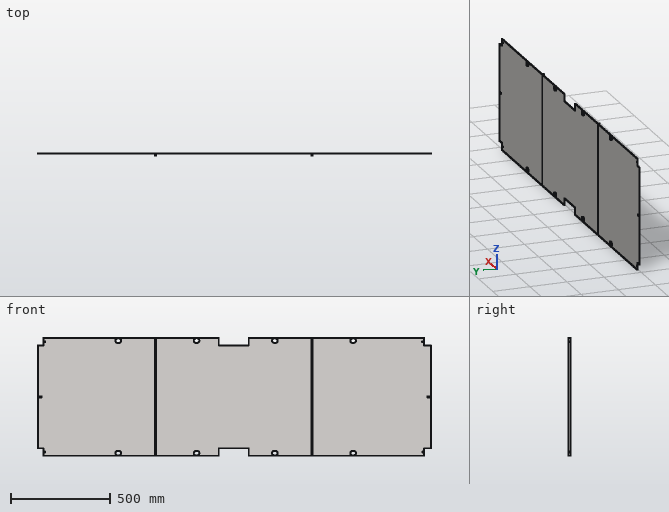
import cadquery as cq

PANEL_LENGTH = 1981.0
PANEL_HEIGHT = 595.0
TOTAL_DEPTH = 12.7
PANEL_THICKNESS = 3.2

LEFT_NOTCH_WIDTH = 28.0
RIGHT_NOTCH_WIDTH = 35.0
MIDDLE_NOTCH_WIDTH = 150.0
NOTCH_DEPTH = 38.0
TAB_CORNER_RADIUS = 4.0

SMALL_HOLE_DIAMETER = 4.0
SMALL_HOLE_EDGE_DISTANCE = 20.0
CORNER_HOLE_WALL_DISTANCE = 8.0

EDGE_SLOT_LENGTH = 28.0
EDGE_SLOT_WIDTH = 22.0
EDGE_SLOT_EDGE_DISTANCE = 14.0
EDGE_SLOT_SPACING = 395.0
EDGE_SLOT_COUNT = 4
EDGE_SLOT_ROW_CENTER = 5.0

END_SLOT_LENGTH = 20.0
END_SLOT_WIDTH = 5.0
END_SLOT_MOUTH_RADIUS = 4.0

RIB_WIDTH = 6.3
RIB_SPACING = 2 * EDGE_SLOT_SPACING

LEFT_END = -PANEL_LENGTH / 2
RIGHT_END = PANEL_LENGTH / 2
TOP_EDGE = PANEL_HEIGHT / 2
LEFT_SHOULDER = LEFT_END + LEFT_NOTCH_WIDTH
RIGHT_SHOULDER = RIGHT_END - RIGHT_NOTCH_WIDTH
SHOULDER_CENTER = (LEFT_SHOULDER + RIGHT_SHOULDER) / 2
BACK_FACE = TOTAL_DEPTH / 2
RIB_FACE = BACK_FACE - PANEL_THICKNESS
RIB_DEPTH = TOTAL_DEPTH - PANEL_THICKNESS
SMALL_HOLE_Z = TOP_EDGE - SMALL_HOLE_EDGE_DISTANCE
EDGE_SLOT_Z = TOP_EDGE - EDGE_SLOT_EDGE_DISTANCE


def panel_sketch(x, z):
    """Workplane on the back face at (x, z), extruding forward through the panel."""
    return cq.Workplane("XZ", origin=(x, BACK_FACE, z))


def panel_block(width, height, x, z):
    """Rectangular block of panel thickness, centred on (x, z)."""
    return panel_sketch(x, z).rect(width, height).extrude(PANEL_THICKNESS)


def cut_notches(panel):
    """Cut the corner and middle notches into the top and bottom edges."""
    notches = [
        (LEFT_NOTCH_WIDTH, (LEFT_END + LEFT_SHOULDER) / 2),
        (RIGHT_NOTCH_WIDTH, (RIGHT_SHOULDER + RIGHT_END) / 2),
        (MIDDLE_NOTCH_WIDTH, SHOULDER_CENTER),
    ]
    notch_z = TOP_EDGE - NOTCH_DEPTH / 2
    for width, x in notches:
        for z in (-notch_z, notch_z):
            panel = panel.cut(panel_block(width, NOTCH_DEPTH, x, z))
    return panel


def round_right_tab(panel):
    """Round the two outer corners of the tab on the right end."""
    corners = panel.faces(">X").edges("|Y")
    return corners.fillet(TAB_CORNER_RADIUS)


def cut_corner_holes(panel):
    """Drill a small hole beside each corner notch."""
    left_x = LEFT_SHOULDER + CORNER_HOLE_WALL_DISTANCE
    right_x = RIGHT_SHOULDER - CORNER_HOLE_WALL_DISTANCE
    for x in (left_x, right_x):
        for z in (-SMALL_HOLE_Z, SMALL_HOLE_Z):
            hole = panel_sketch(x, z).circle(SMALL_HOLE_DIAMETER / 2).extrude(PANEL_THICKNESS)
            panel = panel.cut(hole)
    return panel


def cut_edge_slots(panel):
    """Cut a row of obround slots along the top and bottom edges."""
    for z in (-EDGE_SLOT_Z, EDGE_SLOT_Z):
        row = panel_sketch(EDGE_SLOT_ROW_CENTER, z).rarray(EDGE_SLOT_SPACING, 20, EDGE_SLOT_COUNT, 1)
        slots = row.slot2D(EDGE_SLOT_LENGTH, EDGE_SLOT_WIDTH).extrude(PANEL_THICKNESS)
        panel = panel.cut(slots)
    return panel


def cut_end_slots(panel):
    """Cut an open slot into each end and round the mouth of the right one."""
    left_slot = panel_block(END_SLOT_LENGTH, END_SLOT_WIDTH, LEFT_END + END_SLOT_LENGTH / 2, 0)
    right_slot = panel_block(END_SLOT_LENGTH, END_SLOT_WIDTH, RIGHT_END - END_SLOT_LENGTH / 2, 0)
    panel = panel.cut(left_slot).cut(right_slot)
    mouth_box = cq.selectors.BoxSelector(
        (RIGHT_END - END_SLOT_LENGTH / 2, -TOTAL_DEPTH, -END_SLOT_WIDTH),
        (RIGHT_END + END_SLOT_LENGTH / 2, TOTAL_DEPTH, END_SLOT_WIDTH),
    )
    return panel.edges("|Y").edges(mouth_box).fillet(END_SLOT_MOUTH_RADIUS)


def make_panel():
    panel = panel_block(PANEL_LENGTH, PANEL_HEIGHT, 0, 0)
    panel = cut_notches(panel)
    panel = round_right_tab(panel)
    panel = cut_corner_holes(panel)
    panel = cut_edge_slots(panel)
    return cut_end_slots(panel)


def make_rib(x):
    """Full-height rib on the front of the panel, with a cross hole near each end."""
    rib_y = RIB_FACE - RIB_DEPTH / 2
    rib = cq.Workplane("XY").box(RIB_WIDTH, RIB_DEPTH, PANEL_HEIGHT).translate((x, rib_y, 0))
    for z in (-SMALL_HOLE_Z, SMALL_HOLE_Z):
        side = cq.Workplane("YZ", origin=(x - RIB_WIDTH / 2, rib_y, z))
        rib = rib.cut(side.circle(SMALL_HOLE_DIAMETER / 2).extrude(RIB_WIDTH))
    return rib


panel = make_panel()
ribs = [make_rib(SHOULDER_CENTER + side * RIB_SPACING / 2) for side in (-1, 1)]
result = cq.Compound.makeCompound([panel.solids().val(), *[rib.solids().val() for rib in ribs]])